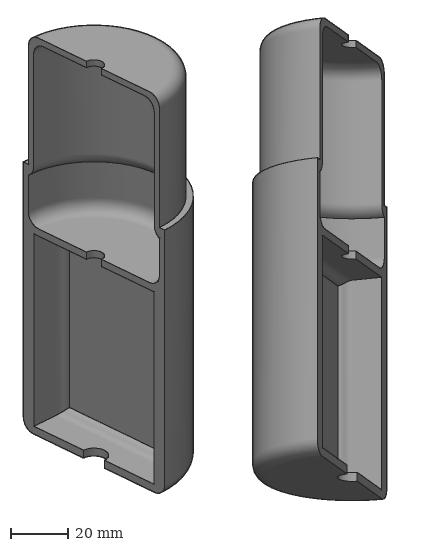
import cadquery as cq
import math

height = 159.5
body_radius = 34.8
wall = 2.5
round_radius = 5.0
shoulder_z = 107.0

neck_radius = body_radius - wall
bore_radius = neck_radius - wall

chamber_floor_z = 83.1
chamber_top_z = height - wall

pocket_bottom_z = 3.2
pocket_top_z = 80.2
pocket_half_width = 29.5
pocket_depth = 15.5
pocket_wall_depth = 10.7
pocket_concave_radius = 4.0
pocket_convex_radius = round_radius
pocket_flare_angle = 43.0

cord_hole_radius = 3.7
base_hole_radius = 5.1

ARC_MIDPOINT = math.sqrt(0.5)


def revolve_half(profile):
    """Sweep an XZ profile through the half turn on the +Y side."""
    full = profile.revolve(360, (0, 0, 0), (0, 1, 0))
    size = 2 * height
    half_space = cq.Workplane("XY").box(size, size, size, centered=(True, False, True))
    return full.intersect(half_space)


def make_body():
    inset = round_radius * (1 - ARC_MIDPOINT)
    profile = (
        cq.Workplane("XZ")
        .lineTo(body_radius - round_radius, 0)
        .threePointArc((body_radius - inset, inset), (body_radius, round_radius))
        .lineTo(body_radius, shoulder_z)
        .lineTo(neck_radius, shoulder_z)
        .lineTo(neck_radius, height - round_radius)
        .threePointArc((neck_radius - inset, height - inset), (neck_radius - round_radius, height))
        .lineTo(0, height)
        .close()
    )
    return revolve_half(profile)


def make_chamber():
    inset = round_radius * (1 - ARC_MIDPOINT)
    lip_angle = math.acos(1 - wall / round_radius)

    def lip_point(angle):
        return (
            bore_radius + round_radius * (1 - math.cos(angle)),
            shoulder_z - round_radius * math.sin(angle),
        )

    profile = (
        cq.Workplane("XZ")
        .moveTo(0, chamber_floor_z)
        .lineTo(neck_radius - round_radius, chamber_floor_z)
        .threePointArc(
            (neck_radius - inset, chamber_floor_z + inset),
            (neck_radius, chamber_floor_z + round_radius),
        )
        .lineTo(*lip_point(lip_angle))
        .threePointArc(lip_point(lip_angle / 2), lip_point(0))
        .lineTo(bore_radius, chamber_top_z - round_radius)
        .threePointArc(
            (bore_radius - inset, chamber_top_z - inset),
            (bore_radius - round_radius, chamber_top_z),
        )
        .lineTo(0, chamber_top_z)
        .close()
    )
    return revolve_half(profile)


def pocket_prism(plane, low, high, half_length):
    """Extrude the pocket outline, whose two sides curve inward to a flat back."""
    flare = math.radians(pocket_flare_angle)
    bend_inset = pocket_concave_radius * (1 - math.cos(flare))
    bend_depth = pocket_wall_depth + pocket_concave_radius * math.sin(flare)
    back_angle = math.asin(math.sin(flare) - (pocket_depth - bend_depth) / pocket_convex_radius)

    def concave_point(angle):
        return (
            pocket_concave_radius * (1 - math.cos(angle)),
            pocket_wall_depth + pocket_concave_radius * math.sin(angle),
        )

    def convex_point(angle):
        return (
            bend_inset + pocket_convex_radius * (math.cos(angle) - math.cos(flare)),
            bend_depth + pocket_convex_radius * (math.sin(flare) - math.sin(angle)),
        )

    bend = concave_point(flare)
    concave_middle = concave_point(flare / 2)
    convex_middle = convex_point((flare + back_angle) / 2)
    back = convex_point(back_angle)

    def on_low(point):
        return (low + point[0], point[1])

    def on_high(point):
        return (high - point[0], point[1])

    return (
        cq.Workplane(plane)
        .moveTo(low, 0)
        .lineTo(low, pocket_wall_depth)
        .threePointArc(on_low(concave_middle), on_low(bend))
        .threePointArc(on_low(convex_middle), on_low(back))
        .lineTo(*on_high(back))
        .threePointArc(on_high(convex_middle), on_high(bend))
        .threePointArc(on_high(concave_middle), (high, pocket_wall_depth))
        .lineTo(high, 0)
        .close()
        .extrude(half_length, both=True)
    )


def make_pocket():
    along_z = pocket_prism("XY", -pocket_half_width, pocket_half_width, height)
    along_x = pocket_prism("ZY", pocket_bottom_z, pocket_top_z, height)
    return along_z.intersect(along_x)


def make_axial_hole(radius, bottom_z, top_z):
    return cq.Workplane("XY").workplane(offset=bottom_z).circle(radius).extrude(top_z - bottom_z)


result = (
    make_body()
    .cut(make_chamber())
    .cut(make_pocket())
    .cut(make_axial_hole(cord_hole_radius, chamber_top_z, height))
    .cut(make_axial_hole(cord_hole_radius, pocket_top_z, chamber_floor_z))
    .cut(make_axial_hole(base_hole_radius, 0, pocket_bottom_z))
)